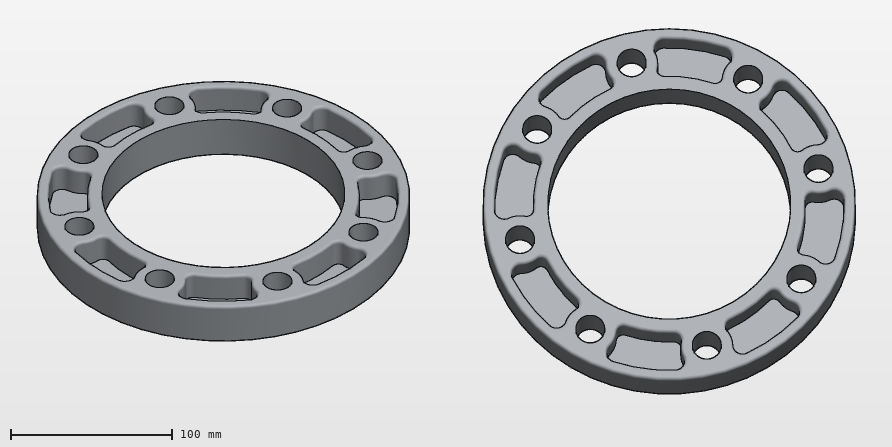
import cadquery as cq
import math

outer_diameter = 230.0
bore_diameter = 150.0
thickness = 27.1
top_rim_fillet = 2.0
bottom_rim_fillet = 1.0

bolt_count = 8
bolt_hole_diameter = 18.0
bolt_circle_radius = 95.0

pocket_inner_radius = 84.0
pocket_outer_radius = 107.9
pocket_depth = 18.0
pocket_inner_corner_radius = 4.4
pocket_outer_corner_radius = 6.0
pocket_rim_fillet = 2.0
bolt_boss_radius = 16.0

bolt_spacing = 360.0 / bolt_count


def polar(radius, angle):
    """Point in the XY plane at a radius and an angle in degrees from +X."""
    radians = math.radians(angle)
    return (radius * math.cos(radians), radius * math.sin(radians))


def distance_from_axis(edge):
    """Distance of a vertical edge from the Z axis."""
    middle = edge.Center()
    return math.hypot(middle.x, middle.y)


def make_ring():
    """Plain ring standing on Z = 0, with rounded outer rims."""
    ring = cq.Workplane("XY").circle(outer_diameter / 2).extrude(thickness)
    ring = ring.faces(">Z").edges().fillet(top_rim_fillet)
    ring = ring.faces("<Z").edges().fillet(bottom_rim_fillet)
    bore = cq.Workplane("XY").circle(bore_diameter / 2).extrude(thickness)
    return ring.cut(bore)


def boss_crossing_angle(radius):
    """Angle from the bolt hole at which a circle about the axis meets the boss around that hole."""
    cosine = (radius**2 + bolt_circle_radius**2 - bolt_boss_radius**2) / (2 * radius * bolt_circle_radius)
    return math.degrees(math.acos(cosine))


def make_pocket():
    """Volume of the pocket between the bolt holes at 0 degrees and one spacing further."""
    inner_start = boss_crossing_angle(pocket_inner_radius)
    outer_start = boss_crossing_angle(pocket_outer_radius)
    middle = bolt_spacing / 2
    first_boss_x, first_boss_y = polar(bolt_circle_radius, 0)
    second_boss_x, second_boss_y = polar(bolt_circle_radius, bolt_spacing)

    first_boss_point = (first_boss_x, first_boss_y + bolt_boss_radius)
    toward_first_x, toward_first_y = polar(bolt_boss_radius, bolt_spacing - 90)
    second_boss_point = (second_boss_x + toward_first_x, second_boss_y + toward_first_y)

    blank = (
        cq.Workplane("XY", origin=(0, 0, thickness - pocket_depth))
        .moveTo(*polar(pocket_inner_radius, inner_start))
        .threePointArc(first_boss_point, polar(pocket_outer_radius, outer_start))
        .threePointArc(polar(pocket_outer_radius, middle), polar(pocket_outer_radius, bolt_spacing - outer_start))
        .threePointArc(second_boss_point, polar(pocket_inner_radius, bolt_spacing - inner_start))
        .threePointArc(polar(pocket_inner_radius, middle), polar(pocket_inner_radius, inner_start))
        .close()
        .extrude(pocket_depth)
    )

    outer_corners = sorted(blank.edges("|Z").vals(), key=distance_from_axis)[-2:]
    pocket = blank.newObject(outer_corners).fillet(pocket_outer_corner_radius)
    inner_corners = sorted(pocket.edges("|Z").vals(), key=distance_from_axis)[:2]
    return pocket.newObject(inner_corners).fillet(pocket_inner_corner_radius)


def cut_pockets(body):
    """Cut one pocket into every gap between neighbouring bolt holes."""
    pocket = make_pocket()
    for index in range(bolt_count):
        body = body.cut(pocket.rotate((0, 0, 0), (0, 0, 1), index * bolt_spacing))
    return body


def round_pocket_rims(body):
    """Round the top edge of every pocket; these are the inner wires of the top face except the bore."""
    inner_wires = body.faces(">Z").val().innerWires()
    bore_wire = max(inner_wires, key=lambda wire: wire.Length())
    rim_edges = [edge for wire in inner_wires if wire is not bore_wire for edge in wire.Edges()]
    return body.newObject(rim_edges).fillet(pocket_rim_fillet)


def cut_bolt_holes(body):
    """Cut the ring of bolt holes through the full thickness."""
    holes = (
        cq.Workplane("XY")
        .polarArray(bolt_circle_radius, 0, 360, bolt_count)
        .circle(bolt_hole_diameter / 2)
        .extrude(thickness)
    )
    return body.cut(holes)


ring = make_ring()
pocketed_ring = round_pocket_rims(cut_pockets(ring))
result = cut_bolt_holes(pocketed_ring)